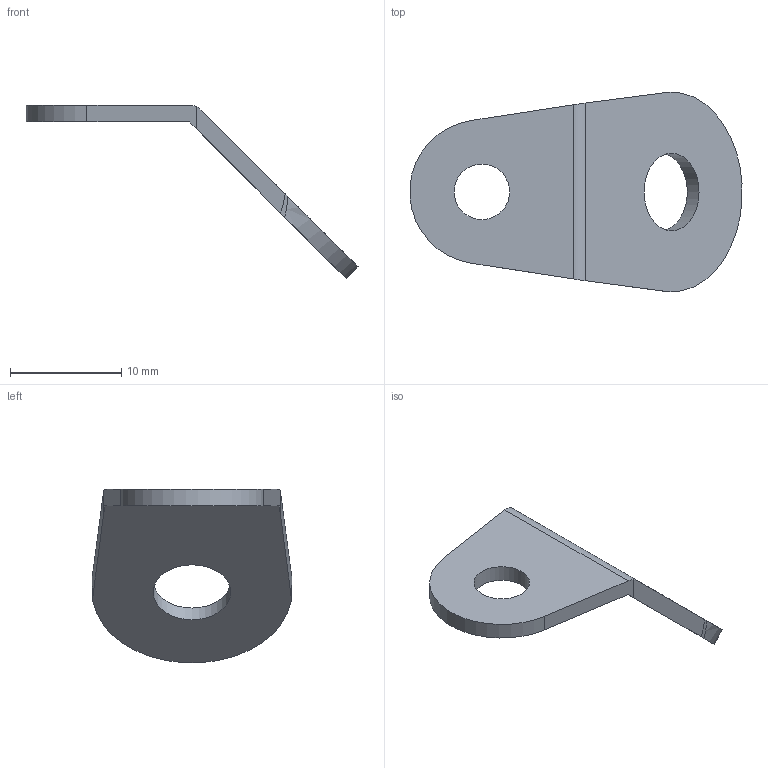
import cadquery as cq
import math

thickness = 1.5
bend_angle = math.radians(45)
bend_start_x = 8.24
slope_to_hole = 11.0
small_radius = 6.5
small_hole_diameter = 5.0
large_radius = 9.0
large_hole_diameter = 7.0
bend_half_width = 7.94
large_side_taper = math.radians(7.5)
side_blend_radius = 2.0
margin = 1.0

slope_cos = math.cos(bend_angle)
slope_sin = math.sin(bend_angle)

apex_offset = thickness * math.tan(bend_angle / 2)
apex_x = bend_start_x + apex_offset
apex_to_hole = apex_offset + slope_to_hole
apex_to_end = apex_to_hole + large_radius
end_x = apex_x + apex_to_end * slope_cos
end_z = -apex_to_end * slope_sin

sloped_plane = cq.Plane(
    origin=(apex_x + apex_to_hole * slope_cos, 0, -apex_to_hole * slope_sin),
    xDir=(slope_cos, 0, -slope_sin),
    normal=(slope_sin, 0, slope_cos),
)


def bent_strip():
    """Strip of constant thickness with a sharp inner and a rounded outer bend."""
    half_bend = bend_angle / 2
    arc_middle = (
        bend_start_x + thickness * math.sin(half_bend),
        -thickness + thickness * math.cos(half_bend),
    )
    arc_end = (bend_start_x + thickness * slope_sin, -thickness + thickness * slope_cos)
    inner_end = (end_x - thickness * slope_sin, end_z - thickness * slope_cos)
    return (
        cq.Workplane("XZ")
        .moveTo(-small_radius, 0)
        .lineTo(bend_start_x, 0)
        .threePointArc(arc_middle, arc_end)
        .lineTo(end_x, end_z)
        .lineTo(*inner_end)
        .lineTo(bend_start_x, -thickness)
        .lineTo(-small_radius, -thickness)
        .close()
        .extrude(large_radius + margin, both=True)
    )


def side_trim():
    """Vertical prism bounded by the small lug's arc and the straight sides of both lugs."""
    apex_reach = math.hypot(apex_x, bend_half_width)
    touch_angle = math.atan2(bend_half_width, apex_x) + math.acos(small_radius / apex_reach)
    touch_x = small_radius * math.cos(touch_angle)
    touch_y = small_radius * math.sin(touch_angle)
    end_half_width = bend_half_width + math.tan(large_side_taper) * (end_x - apex_x)
    depth = thickness - end_z
    return (
        cq.Workplane("XY")
        .moveTo(end_x, -end_half_width)
        .lineTo(end_x, end_half_width)
        .lineTo(apex_x, bend_half_width)
        .lineTo(touch_x, touch_y)
        .threePointArc((-small_radius, 0), (touch_x, -touch_y))
        .lineTo(apex_x, -bend_half_width)
        .close()
        .extrude(-depth)
    )


def end_trim():
    """Material outside the large lug's arc, square to the slope."""
    side_angle = math.atan(math.tan(large_side_taper) * slope_cos)
    start_x = -large_radius * math.sin(side_angle)
    start_y = large_radius * math.cos(side_angle)
    outer = large_radius + 2 * margin
    return (
        cq.Workplane(sloped_plane)
        .moveTo(start_x, start_y)
        .threePointArc((large_radius, 0), (start_x, -start_y))
        .lineTo(start_x, -outer)
        .lineTo(outer, -outer)
        .lineTo(outer, outer)
        .lineTo(start_x, outer)
        .close()
        .extrude(thickness + margin, both=True)
    )


def blend_sides(body):
    """Round the slanted edges where the straight sides run into the round end."""
    ellipses = [edge for edge in body.edges().vals() if edge.geomType() == "ELLIPSE"]
    side_edges = [edge for edge in ellipses if edge.Center().x > end_x - large_radius]
    return body.newObject(side_edges).fillet(side_blend_radius)


def hole(plane, diameter):
    return cq.Workplane(plane).circle(diameter / 2).extrude(2 * thickness, both=True)


body = blend_sides(bent_strip().intersect(side_trim()).cut(end_trim()))
small_hole = hole(cq.Plane.XY(), small_hole_diameter)
large_hole = hole(sloped_plane, large_hole_diameter)
result = body.cut(small_hole).cut(large_hole)